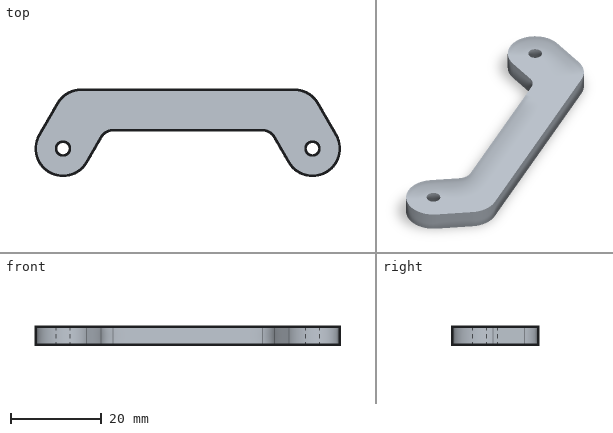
import cadquery as cq
import math

length = 67.0
depth = 19.0
thickness = 4.0

end_radius = 6.0
hole_diameter = 3.0
bar_width = 9.0
outer_corner_radius = 6.0
inner_corner_radius = 3.0
leg_angle = math.radians(60)

hole_x = length / 2 - end_radius
bar_top = depth - end_radius
bar_bottom = bar_top - bar_width

normal_x = end_radius * math.sin(leg_angle)
normal_y = end_radius * math.cos(leg_angle)


def leg_edge_x(start_x, start_y, y):
    """X on the right leg's edge at height y, for an edge through the start point."""
    return start_x - (y - start_y) / math.tan(leg_angle)


outer_tangent = (hole_x + normal_x, normal_y)
inner_tangent = (hole_x - normal_x, -normal_y)
foot_tip = (hole_x + normal_y, -normal_x)
outer_corner = (leg_edge_x(*outer_tangent, bar_top), bar_top)
inner_corner = (leg_edge_x(*inner_tangent, bar_bottom), bar_bottom)


def mirrored(point):
    return (-point[0], point[1])


def corner_edges(body, corner):
    """Select the two vertical edges at a corner and its mirror image."""
    points = [corner, mirrored(corner)]
    selectors = [cq.selectors.NearestToPointSelector((x, y, thickness / 2)) for x, y in points]
    return body.edges("|Z").edges(selectors[0] + selectors[1])


body = (
    cq.Workplane("XY")
    .moveTo(*mirrored(outer_corner))
    .lineTo(*outer_corner)
    .lineTo(*outer_tangent)
    .threePointArc(foot_tip, inner_tangent)
    .lineTo(*inner_corner)
    .lineTo(*mirrored(inner_corner))
    .lineTo(*mirrored(inner_tangent))
    .threePointArc(mirrored(foot_tip), mirrored(outer_tangent))
    .close()
    .extrude(thickness)
)

body = corner_edges(body, outer_corner).fillet(outer_corner_radius)
body = corner_edges(body, inner_corner).fillet(inner_corner_radius)

holes = (
    cq.Workplane("XY")
    .pushPoints([(-hole_x, 0), (hole_x, 0)])
    .circle(hole_diameter / 2)
    .extrude(thickness)
)
result = body.cut(holes)